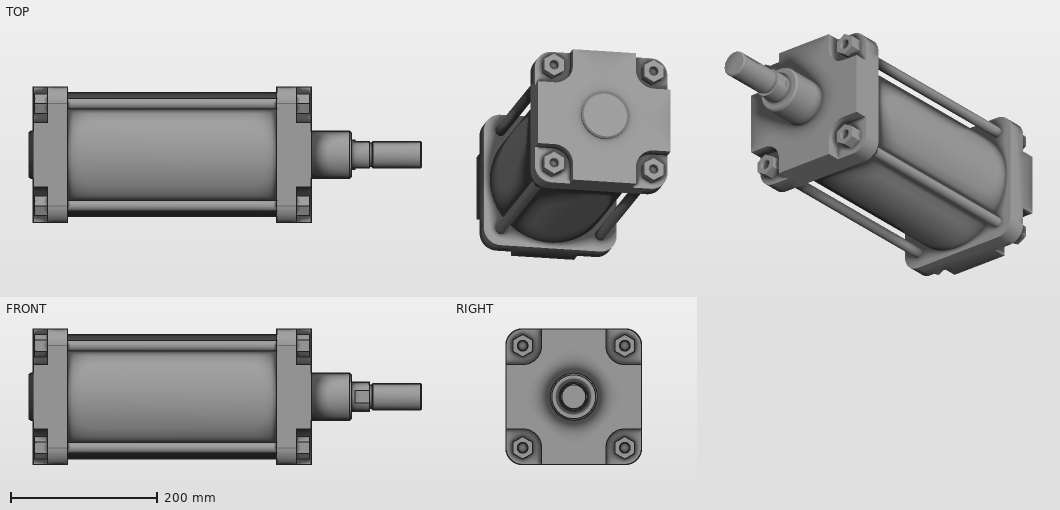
import cadquery as cq
import math


CAP_SIDE = 186.0
CAP_LENGTH = 47.5
CORNER_RADIUS = 23.0
POCKET_DEPTH = 20.0
POCKET_RADIUS = 26.0

BARREL_DIAMETER = 170.0
BARREL_LENGTH = 286.0

BOSS_DIAMETER = 64.5
REAR_BOSS_LENGTH = 6.0
FRONT_BOSS_LENGTH = 55.0
BOSS_CHAMFER_RADIAL = 2.0
BOSS_CHAMFER_AXIAL = 2.5

TIE_ROD_DIAMETER = 14.5
NUT_ACROSS_FLATS = 27.0
NUT_HEIGHT = 18.0
NUT_BORE_DIAMETER = 13.0
NUT_BORE_DEPTH = 11.0
NUT_BORE_CHAMFER = 0.8

COLLAR_DIAMETER = 40.0
COLLAR_LENGTH = 25.0
FLATS_START = 5.0
FLATS_WIDTH = 36.0
UNDERCUT_DIAMETER = 32.5
UNDERCUT_LENGTH = 3.0
TIP_DIAMETER = 36.0
TIP_CHAMFER = 1.5
TOTAL_LENGTH = 538.0

BARREL_START = CAP_LENGTH
HEAD_START = BARREL_START + BARREL_LENGTH
HEAD_END = HEAD_START + CAP_LENGTH
ROD_START = HEAD_END + FRONT_BOSS_LENGTH
ROD_END = TOTAL_LENGTH - REAR_BOSS_LENGTH
TIE_ROD_OFFSET = CAP_SIDE / 2 - CORNER_RADIUS
TIE_ROD_CENTRES = [(y * TIE_ROD_OFFSET, z * TIE_ROD_OFFSET) for y in (-1, 1) for z in (-1, 1)]
POCKET_SIDE = CORNER_RADIUS + POCKET_RADIUS
TIE_ROD_START = POCKET_DEPTH - NUT_HEIGHT
TIE_ROD_END = HEAD_END - TIE_ROD_START


def section_at(x):
    """Work plane across the cylinder axis: local x is Y, local y is Z, extrusion goes to +X."""
    return cq.Workplane("YZ", origin=(x, 0, 0))


def corner_pockets(start):
    """Four rounded squares centred on the cap corners, their inner quarters rounding the tie rod centres."""
    corners = [(y * CAP_SIDE / 2, z * CAP_SIDE / 2) for y in (-1, 1) for z in (-1, 1)]
    squares = section_at(start).pushPoints(corners).rect(2 * POCKET_SIDE, 2 * POCKET_SIDE)
    return squares.extrude(POCKET_DEPTH).edges("|X").fillet(POCKET_RADIUS)


def chamfered_boss(base_x, length, direction):
    """Round boss on a cap face, growing along +X (direction 1) or -X (direction -1)."""
    radius = BOSS_DIAMETER / 2
    shoulder_x = base_x + direction * (length - BOSS_CHAMFER_AXIAL)
    end_x = base_x + direction * length
    return (
        cq.Workplane("XY")
        .moveTo(base_x, 0)
        .lineTo(base_x, radius)
        .lineTo(shoulder_x, radius)
        .lineTo(end_x, radius - BOSS_CHAMFER_RADIAL)
        .lineTo(end_x, 0)
        .close()
        .revolve(360, (0, 0, 0), (1, 0, 0))
    )


def end_cap(start, pocket_start, boss):
    """Square cap with nut pockets, tie rod holes and a boss."""
    block = section_at(start).rect(CAP_SIDE, CAP_SIDE).extrude(CAP_LENGTH)
    block = block.edges("|X").fillet(CORNER_RADIUS)
    holes = section_at(start).pushPoints(TIE_ROD_CENTRES).circle(TIE_ROD_DIAMETER / 2).extrude(CAP_LENGTH)
    return block.cut(corner_pockets(pocket_start)).cut(holes).union(boss)


def rear_cap():
    return end_cap(0, 0, chamfered_boss(0, REAR_BOSS_LENGTH, -1))


def head_cap():
    return end_cap(HEAD_START, HEAD_END - POCKET_DEPTH, chamfered_boss(HEAD_END, FRONT_BOSS_LENGTH, 1))


def barrel():
    return section_at(BARREL_START).circle(BARREL_DIAMETER / 2).extrude(BARREL_LENGTH)


def nut_bore(mouth_x, direction):
    """Blind bore with a chamfered mouth, going in along +X (direction 1) or -X (direction -1)."""
    radius = NUT_BORE_DIAMETER / 2
    return (
        cq.Workplane("XY")
        .moveTo(mouth_x, 0)
        .lineTo(mouth_x, radius + NUT_BORE_CHAMFER)
        .lineTo(mouth_x + direction * NUT_BORE_CHAMFER, radius)
        .lineTo(mouth_x + direction * NUT_BORE_DEPTH, radius)
        .lineTo(mouth_x + direction * NUT_BORE_DEPTH, 0)
        .close()
        .revolve(360, (0, 0, 0), (1, 0, 0))
    )


def tie_rod(y, z):
    """Rod through both caps with a nut at each end, corners of the nuts pointing along Z."""
    across_corners = NUT_ACROSS_FLATS / math.cos(math.pi / 6)
    rod = section_at(TIE_ROD_START).circle(TIE_ROD_DIAMETER / 2).extrude(TIE_ROD_END - TIE_ROD_START)
    for nut_start in (TIE_ROD_START, TIE_ROD_END - NUT_HEIGHT):
        nut = section_at(nut_start).polygon(6, across_corners).extrude(NUT_HEIGHT)
        rod = rod.union(nut.rotate((0, 0, 0), (1, 0, 0), 90))
    rod = rod.cut(nut_bore(TIE_ROD_START, 1)).cut(nut_bore(TIE_ROD_END, -1))
    return rod.translate((0, y, z))


def piston_rod():
    """Rod end ahead of the front boss: collar with two wrench flats, undercut and chamfered tip."""
    tip_start = ROD_START + COLLAR_LENGTH + UNDERCUT_LENGTH
    collar = section_at(ROD_START).circle(COLLAR_DIAMETER / 2).extrude(COLLAR_LENGTH)
    flats = (
        section_at(ROD_START + FLATS_START)
        .rect(COLLAR_DIAMETER, COLLAR_DIAMETER)
        .rect(FLATS_WIDTH, COLLAR_DIAMETER)
        .extrude(COLLAR_LENGTH - FLATS_START)
    )
    undercut = section_at(ROD_START).circle(UNDERCUT_DIAMETER / 2).extrude(tip_start - ROD_START)
    tip = section_at(tip_start).circle(TIP_DIAMETER / 2).extrude(ROD_END - tip_start)
    tip = tip.faces("<X or >X").edges().chamfer(TIP_CHAMFER)
    return collar.cut(flats).union(undercut).union(tip)


tie_rods = [tie_rod(y, z) for y, z in TIE_ROD_CENTRES]

result = cq.Compound.makeCompound(
    [
        rear_cap().val(),
        head_cap().val(),
        barrel().val(),
        piston_rod().val(),
        *[rod.val() for rod in tie_rods],
    ]
)